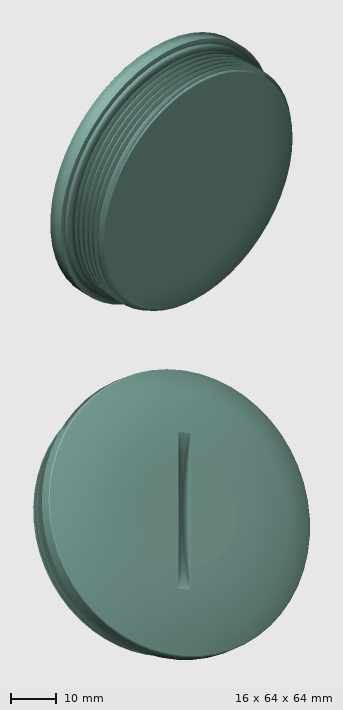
import cadquery as cq
import math

OVERALL_LENGTH = 16.0
DOME_DEPTH = 2.5
FLANGE_BACK = 5.95
GASKET_THICKNESS = 0.9
GASKET_BACK = FLANGE_BACK + GASKET_THICKNESS

FLANGE_RADIUS = 64.0 / 2
GASKET_RADIUS = 61.45 / 2
SHANK_RADIUS = 57.55 / 2
CROWN_RADIUS = 24.95 / 2
RIM_CHAMFER = 0.2
GASKET_ROUND = 0.8
END_CHAMFER = 0.2

PITCH = 1.505
THREAD_HEIGHT = 0.9
THREAD_BASE_WIDTH = 0.95
THREAD_EMBED = 0.1
FIRST_CREST = 7.55
THREAD_START = FIRST_CREST - PITCH
THREAD_END = OVERALL_LENGTH + PITCH

SLOT_WIDTH = 3.0
SLOT_LENGTH = 34.95
SLOT_DEPTH = 3.85

AXIS_START = (0, 0, 0)
AXIS_END = (1, 0, 0)

DOME_EDGE_RADIUS = FLANGE_RADIUS - RIM_CHAMFER
DOME_SPAN = DOME_EDGE_RADIUS - CROWN_RADIUS
DOME_RADIUS = (DOME_SPAN**2 + DOME_DEPTH**2) / (2 * DOME_DEPTH)


def dome_depth(radius):
    """Axial distance of the dome surface behind the crown."""
    return DOME_RADIUS - math.sqrt(DOME_RADIUS**2 - (radius - CROWN_RADIUS) ** 2)


def make_head():
    """Domed flange, revolved about X."""
    middle = CROWN_RADIUS + DOME_SPAN / 2
    return (
        cq.Workplane("XY")
        .moveTo(0, 0)
        .lineTo(0, CROWN_RADIUS)
        .threePointArc((dome_depth(middle), middle), (DOME_DEPTH, DOME_EDGE_RADIUS))
        .lineTo(DOME_DEPTH + RIM_CHAMFER, FLANGE_RADIUS)
        .lineTo(FLANGE_BACK, FLANGE_RADIUS)
        .lineTo(FLANGE_BACK, 0)
        .close()
        .revolve(360, AXIS_START, AXIS_END)
    )


def make_shank_envelope():
    """Solid that trims the shank: bare inside the gasket, chamfered at the free end."""
    outer = SHANK_RADIUS + 2 * THREAD_HEIGHT
    end_radius = SHANK_RADIUS - END_CHAMFER
    return (
        cq.Workplane("XY")
        .moveTo(FLANGE_BACK, 0)
        .lineTo(FLANGE_BACK, SHANK_RADIUS)
        .lineTo(GASKET_BACK, SHANK_RADIUS)
        .lineTo(GASKET_BACK, outer)
        .lineTo(OVERALL_LENGTH - (outer - end_radius), outer)
        .lineTo(OVERALL_LENGTH, end_radius)
        .lineTo(OVERALL_LENGTH, 0)
        .close()
        .revolve(360, AXIS_START, AXIS_END)
    )


def make_ridge():
    """Right-handed V ridge that starts at +Z, swept along Z and then laid along X."""
    inner = SHANK_RADIUS - THREAD_EMBED
    crest = SHANK_RADIUS + THREAD_HEIGHT
    half_width = THREAD_BASE_WIDTH / 2
    helix = cq.Wire.makeHelix(PITCH, THREAD_END - THREAD_START, SHANK_RADIUS)
    return (
        cq.Workplane("XZ")
        .polyline([(inner, -half_width), (crest, 0), (inner, half_width)])
        .close()
        .sweep(cq.Workplane(helix), isFrenet=True)
        .rotate((0, 0, 0), (0, 0, 1), 180)
        .rotate((0, 0, 0), (0, 1, 0), 90)
        .translate((THREAD_START, 0, 0))
    )


def make_shank():
    """Threaded shank, built longer than needed at both ends and then trimmed."""
    shank_length = THREAD_END + PITCH - DOME_DEPTH
    core = cq.Workplane("YZ", origin=(DOME_DEPTH, 0, 0)).circle(SHANK_RADIUS).extrude(shank_length)
    return core.union(make_ridge()).intersect(make_shank_envelope())


def make_slot_cutter():
    """Disc segment whose rim forms the slot floor."""
    half_length = SLOT_LENGTH / 2
    mouth = dome_depth(half_length)
    sagitta = SLOT_DEPTH - mouth
    floor_radius = (half_length**2 + sagitta**2) / (2 * sagitta)
    return (
        cq.Workplane("XZ", origin=(SLOT_DEPTH - floor_radius, 0, 0))
        .circle(floor_radius)
        .extrude(SLOT_WIDTH / 2, both=True)
    )


def make_plug():
    return make_head().union(make_shank()).cut(make_slot_cutter())


def make_gasket():
    """Flat sealing ring around the shank, rounded at its free outer edge."""
    return (
        cq.Workplane("YZ", origin=(FLANGE_BACK, 0, 0))
        .circle(GASKET_RADIUS)
        .extrude(GASKET_THICKNESS)
        .faces(">X")
        .edges()
        .fillet(GASKET_ROUND)
        .cut(cq.Workplane("YZ").circle(SHANK_RADIUS).extrude(OVERALL_LENGTH))
    )


plug = make_plug()
gasket = make_gasket()

result = cq.Compound.makeCompound([plug.val(), gasket.val()])